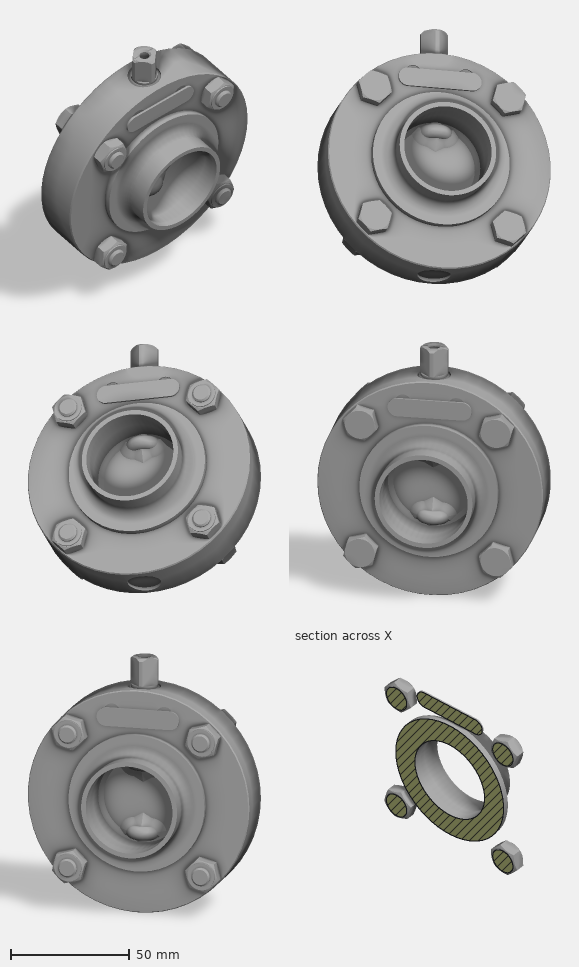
import cadquery as cq
import math


overall_length = 50.0
body_diameter = 97.0
body_half_width = 10.0
body_chamfer_axial = 0.6
body_chamfer_radial = 0.4
collar_diameter = 59.5
collar_thickness = 3.0
pipe_diameter = 42.0
bore_diameter = 38.0
neck_fillet = 4.0

seat_start = 4.5
seat_diameter = 34.4
disc_hub_diameter = 4.13
disc_center_half_thickness = 2.2
disc_rim_half_thickness = 2.0

flare_tip = 6.4
flare_shoulder_y = 4.0
flare_shoulder_z = 8.7
flare_bend_y = 7.9
flare_bend_z = 10.2
flare_half_width = 10.2
flare_side_z = 14.0
flare_height = 2.8
flare_taper = 60.0
bulge_diameter = 15.7
bulge_bottom = 12.1
bulge_top = 18.2

stem_top = 61.0
stem_diameter = 12.0
stem_across_flats = 9.6
stem_square_bottom = 49.2
stem_neck_diameter = 11.4
stem_chamfer = 1.0
stem_recess_diameter = 14.2
stem_recess_floor = 47.0
stem_collar_top = 48.0
stem_collar_chamfer = 0.9
stem_hole_diameter = 4.13
stem_hole_depth = 8.0
stem_hole_countersink = 5.8
drill_tip_angle = 118.0
mark_width = 1.2
mark_length = 10.8
mark_depth = 0.3

plate_length = 36.0
plate_height = 8.0
plate_thickness = 1.0
plate_center_z = 36.4
sink_diameter = 7.2
sink_spacing = 23.0
sink_center_z = 38.5
sink_depth = 0.5

bolt_circle_diameter = 82.5
bolt_angles = (45, 135, 225, 315)
bolt_diameter = 8.0
bolt_end = 18.0
bolt_end_chamfer = 0.7
hex_across_flats = 13.0
washer_face_diameter = 11.4
head_washer_thickness = 0.6
head_height = 4.8
head_face_diameter = 12.75
nut_washer_thickness = 0.3
nut_hex_height = 5.7
nut_face_diameter = 12.2
nut_collar_diameter = 11.7
nut_collar_height = 0.6
hex_chamfer_angle = 30.0

half_length = overall_length / 2
body_radius = body_diameter / 2
pipe_radius = pipe_diameter / 2
bore_radius = bore_diameter / 2
seat_radius = seat_diameter / 2
collar_face = body_half_width + collar_thickness


def cylinder_x(diameter, start, length):
    """Cylinder on the flow axis, from the plane x = start toward +X."""
    return cq.Workplane("YZ", origin=(start, 0, 0)).circle(diameter / 2).extrude(length)


def cylinder_z(diameter, bottom, top):
    """Cylinder on the stem axis."""
    return cq.Workplane("XY", origin=(0, 0, bottom)).circle(diameter / 2).extrude(top - bottom)


def make_body_ring():
    """Chamfered body ring, revolved about X."""
    chamfer_start = body_half_width - body_chamfer_axial
    face_radius = body_radius - body_chamfer_radial
    profile = (
        cq.Workplane("XY")
        .moveTo(-body_half_width, 0)
        .lineTo(-body_half_width, face_radius)
        .lineTo(-chamfer_start, body_radius)
        .lineTo(chamfer_start, body_radius)
        .lineTo(body_half_width, face_radius)
        .lineTo(body_half_width, 0)
        .close()
    )
    return profile.revolve(360, (0, 0, 0), (1, 0, 0))


def make_pipe_end():
    """Solid collar, filleted neck and pipe end on the +X side, revolved about X."""
    fillet_mid = neck_fillet * (1 - math.sqrt(0.5))
    profile = (
        cq.Workplane("XY")
        .moveTo(body_half_width, 0)
        .lineTo(body_half_width, collar_diameter / 2)
        .lineTo(collar_face, collar_diameter / 2)
        .lineTo(collar_face, pipe_radius + neck_fillet)
        .threePointArc(
            (collar_face + fillet_mid, pipe_radius + fillet_mid),
            (collar_face + neck_fillet, pipe_radius),
        )
        .lineTo(half_length, pipe_radius)
        .lineTo(half_length, 0)
        .close()
    )
    return profile.revolve(360, (0, 0, 0), (1, 0, 0))


def make_half_bore():
    """Bore of the +X side with its tapered seat, closed off by the disc, revolved about X."""
    profile = (
        cq.Workplane("XY")
        .moveTo(disc_center_half_thickness, 0)
        .lineTo(disc_center_half_thickness, disc_hub_diameter / 2)
        .lineTo(disc_rim_half_thickness, seat_radius)
        .lineTo(seat_start, bore_radius)
        .lineTo(half_length, bore_radius)
        .lineTo(half_length, 0)
        .close()
    )
    return profile.revolve(360, (0, 0, 0), (1, 0, 0))


def make_hub_flare():
    """Pointed, tapering swelling of the disc toward the stem, on the upper half of the +X face."""
    outline = (
        cq.Workplane("YZ", origin=(disc_rim_half_thickness, 0, 0))
        .moveTo(0, flare_tip)
        .lineTo(flare_shoulder_y, flare_shoulder_z)
        .threePointArc((flare_bend_y, flare_bend_z), (flare_half_width, flare_side_z))
        .lineTo(flare_half_width, bore_radius)
        .lineTo(-flare_half_width, bore_radius)
        .lineTo(-flare_half_width, flare_side_z)
        .threePointArc((-flare_bend_y, flare_bend_z), (-flare_shoulder_y, flare_shoulder_z))
        .close()
    )
    flare = outline.extrude(flare_height, taper=flare_taper)
    return flare.intersect(cylinder_x(bore_diameter, 0, half_length))


def make_seal_bulge():
    """Seal bulge with a fully rounded rim around the stem, in the upper half of the bore."""
    round_radius = (bulge_top - bulge_bottom) / 2
    core_radius = bulge_diameter / 2 - round_radius
    return (
        cq.Workplane("XZ")
        .moveTo(0, bulge_bottom)
        .lineTo(core_radius, bulge_bottom)
        .threePointArc(
            (bulge_diameter / 2, bulge_bottom + round_radius),
            (core_radius, bulge_top),
        )
        .lineTo(core_radius, bore_radius)
        .lineTo(0, bore_radius)
        .close()
        .revolve(360, (0, 0, 0), (0, 1, 0))
    )


def make_stem_collar():
    """Chamfered collar that fills the foot of the stem recess."""
    collar = cylinder_z(stem_recess_diameter, stem_recess_floor, stem_collar_top)
    return collar.faces(">Z").chamfer(stem_collar_chamfer)


def make_stem():
    """Stem end with four flats, standing on its corner, with a drilled and marked top."""
    square = (
        cq.Workplane("XY", origin=(0, 0, stem_square_bottom))
        .rect(stem_across_flats, stem_across_flats)
        .extrude(stem_top - stem_square_bottom)
        .rotate((0, 0, 0), (0, 0, 1), 45)
    )
    turned = cylinder_z(stem_diameter, stem_square_bottom, stem_top).faces(">Z").chamfer(stem_chamfer)
    neck = cylinder_z(stem_neck_diameter, stem_recess_floor, stem_square_bottom)
    stem = square.intersect(turned).union(neck)

    hole_radius = stem_hole_diameter / 2
    sink_radius = stem_hole_countersink / 2
    hole_bottom = stem_top - stem_hole_depth
    tip_depth = hole_radius / math.tan(math.radians(drill_tip_angle / 2))
    hole = (
        cq.Workplane("XZ")
        .moveTo(0, stem_top)
        .lineTo(sink_radius, stem_top)
        .lineTo(hole_radius, stem_top - (sink_radius - hole_radius))
        .lineTo(hole_radius, hole_bottom)
        .lineTo(0, hole_bottom - tip_depth)
        .close()
        .revolve(360, (0, 0, 0), (0, 1, 0))
    )
    mark = cq.Workplane("XY").box(mark_width, mark_length, 2 * mark_depth).translate((0, 0, stem_top))
    return stem.cut(hole).cut(mark)


def make_plate():
    """Raised name plate with round ends on the +X face of the body."""
    return (
        cq.Workplane("YZ", origin=(body_half_width, 0, plate_center_z))
        .slot2D(plate_length, plate_height)
        .extrude(plate_thickness)
    )


def make_plate_sinks():
    """Two shallow round sinks that the plate on the +X face partly covers."""
    return (
        cq.Workplane("YZ", origin=(body_half_width - sink_depth, 0, sink_center_z))
        .pushPoints([(-sink_spacing / 2, 0), (sink_spacing / 2, 0)])
        .circle(sink_diameter / 2)
        .extrude(sink_depth)
    )


def make_hexagon(height, face_diameter, bottom_chamfered=False):
    """Hexagon prism from x = 0 to x = height, two flats square to the Z axis, corners chamfered."""
    corner_radius = hex_across_flats / 2 / math.cos(math.pi / 6)
    drop = (corner_radius - face_diameter / 2) * math.tan(math.radians(hex_chamfer_angle))
    trim = cq.Workplane("XY").lineTo(height, 0).lineTo(height, face_diameter / 2)
    trim = trim.lineTo(height - drop, corner_radius)
    if bottom_chamfered:
        trim = trim.lineTo(drop, corner_radius).lineTo(0, face_diameter / 2)
    else:
        trim = trim.lineTo(0, corner_radius)
    prism = cq.Workplane("YZ").polygon(6, 2 * corner_radius).extrude(height)
    return prism.intersect(trim.close().revolve(360, (0, 0, 0), (1, 0, 0)))


def make_bolt():
    """Bolt head on the -X face and nut with thread end on the +X face, at the top of the bolt circle."""
    head_start = -(body_half_width + head_washer_thickness)
    nut_start = body_half_width + nut_washer_thickness
    nut_end = nut_start + nut_hex_height
    faces = cylinder_x(washer_face_diameter, head_start, nut_start - head_start)
    head = make_hexagon(head_height, head_face_diameter).mirror("YZ").translate((head_start, 0, 0))
    nut = make_hexagon(nut_hex_height, nut_face_diameter, True).translate((nut_start, 0, 0))
    nut = nut.union(cylinder_x(nut_collar_diameter, nut_end, nut_collar_height))
    shank = cylinder_x(bolt_diameter, 0, bolt_end).faces(">X").chamfer(bolt_end_chamfer)
    bolt = faces.union(head).union(nut).union(shank)
    return bolt.translate((0, 0, bolt_circle_diameter / 2))


pipe_end = make_pipe_end()
sinks = make_plate_sinks()
plate = make_plate()
bore = make_half_bore()
body = make_body_ring()
body = body.union(pipe_end).union(pipe_end.mirror("YZ"))
body = body.cut(sinks).cut(sinks.mirror("YZ"))
body = body.union(plate).union(plate.mirror("YZ"))
body = body.cut(bore).cut(bore.mirror("YZ"))

recess = cylinder_z(stem_recess_diameter, stem_recess_floor, stem_top)
body = body.cut(recess).cut(recess.mirror("XY"))
body = body.union(make_stem_collar()).union(make_stem())

flare = make_hub_flare()
support = make_seal_bulge().union(flare).union(flare.mirror("YZ"))
body = body.union(support).union(support.mirror("XY"))

bolt_template = make_bolt()
for angle in bolt_angles:
    body = body.union(bolt_template.rotate((0, 0, 0), (1, 0, 0), angle))

result = body